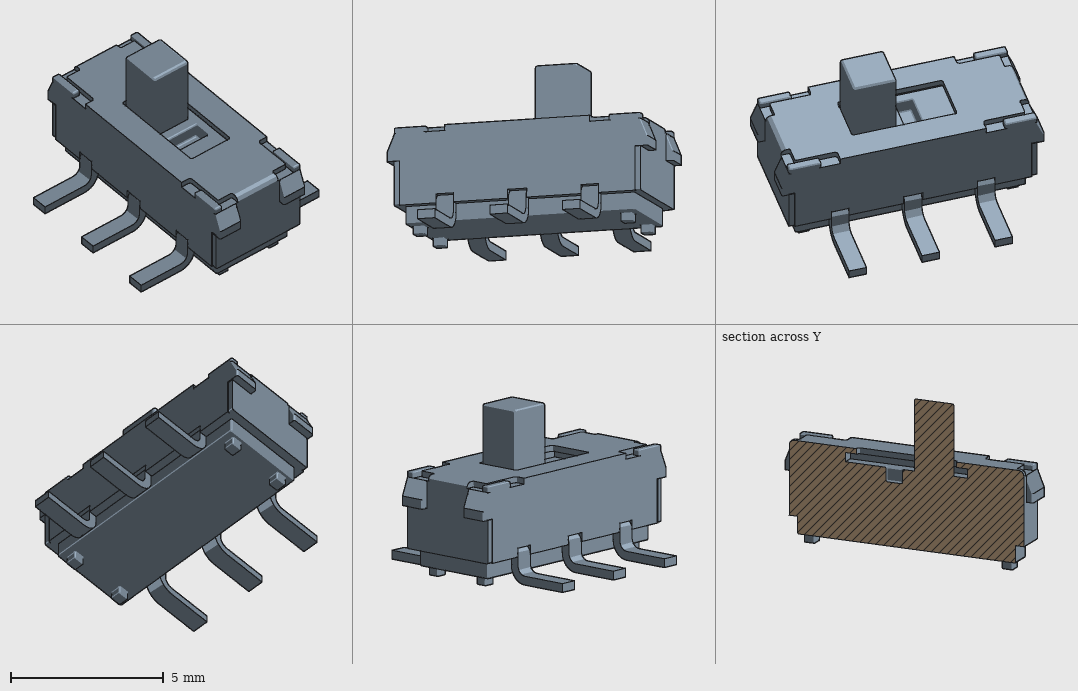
import cadquery as cq

base_bottom_z = 0.3
body_bottom_z = 0.9
body_top_z = 3.3
cover_top_z = 3.5
knob_top_z = 5.5

body_width = 3.6
body_length = 8.5
side_wall_length = 8.12
end_wall_inset = 0.03
base_length = 7.9
base_width = 3.0
small_round = 0.06

overall_length = 9.0
wing_inner_y = 0.9
wing_knee_z = 2.7
wing_bottom_z = 2.38

notch_end_x = 2.5
notch_side_y = 1.43
notch_inner_x = 3.94
notch_inner_y = 0.85
notch_corner_radius = 0.1
notch_fine_radius = 0.05
cover_end_radius = 0.19
nub_length = 1.1
nub_width = 0.3

window_length = 3.6
window_width = 1.65
window_corner_radius = 0.08
slider_top_z = 3.0
cavity_clearance_x = 0.4
cavity_clearance_y = 0.25
slot_center_x = 0.44
slot_length = 0.6
slot_width = 1.5
slot_depth = 0.5
knob_size = 1.5
knob_center_x = -1.0
knob_round = 0.1

terminal_pitch = 2.5
terminal_width = 0.6
terminal_thickness = 0.3
terminal_tip_y = 3.75
bend_inner_radius = 0.3
pocket_widths = (0.6, 0.66, 0.6)

post_size = 0.4
post_center_x = 3.58
post_center_y = 1.05
post_round = 0.05

half_length = body_length / 2
half_width = body_width / 2
bend_outer_radius = bend_inner_radius + terminal_thickness
cover_thickness = cover_top_z - body_top_z


def block(x_range, y_range, z_range):
    """Axis-aligned box between the given limits."""
    x0, x1 = x_range
    y0, y1 = y_range
    z0, z1 = z_range
    return cq.Workplane("XY").box(x1 - x0, y1 - y0, z1 - z0, centered=False).translate((x0, y0, z0))


def centered_block(length, width, z0, z1):
    """Box centred on the Z axis."""
    return block((-length / 2, length / 2), (-width / 2, width / 2), (z0, z1))


def at_four_corners(shape):
    """The (-X, -Y) corner shape together with its three mirror images."""
    pair = shape.union(shape.mirror("YZ"))
    return pair.union(pair.mirror("XZ"))


def make_housing():
    sides = centered_block(side_wall_length, body_width, body_bottom_z, body_top_z)
    ends = centered_block(body_length, body_width - 2 * end_wall_inset, body_bottom_z, body_top_z)
    ends = ends.edges("|X and <Z").fillet(small_round)
    base = centered_block(base_length, base_width, base_bottom_z, body_bottom_z)
    base = base.edges("|Z").fillet(small_round).faces("<Z").edges().fillet(small_round)
    return sides.union(ends).union(base)


def make_wing():
    """Snap wing that slopes outward and down from the top of one corner."""
    wing = (
        cq.Workplane("XZ", origin=(0, -wing_inner_y, 0))
        .moveTo(-half_length, body_top_z)
        .lineTo(-overall_length / 2, wing_knee_z)
        .lineTo(-overall_length / 2, wing_bottom_z)
        .lineTo(-side_wall_length / 2, wing_bottom_z)
        .lineTo(-side_wall_length / 2, body_top_z)
        .close()
        .extrude(half_width - wing_inner_y)
    )
    sloped_edges = wing.edges("#Y").edges("not(|X or |Z)")
    return sloped_edges.add(wing.faces("<X").edges("|Z")).fillet(small_round)


def make_nub():
    """Raised bar at the outer edge of one corner of the cover."""
    nub = block(
        (-half_length, -half_length + nub_length),
        (-half_width, -half_width + nub_width),
        (body_top_z, cover_top_z),
    )
    return nub.edges("|Z or >Z").fillet(small_round)


def make_notch():
    """L-shaped cutter that clears one corner of the cover."""
    side_leg = block(
        (-half_length, -notch_end_x), (-half_width, -notch_side_y), (body_top_z, cover_top_z)
    )
    side_leg = side_leg.edges("|Z and >X and >Y").fillet(notch_corner_radius)
    end_leg = block(
        (-half_length, -notch_inner_x), (-half_width, -notch_inner_y), (body_top_z, cover_top_z)
    )
    end_leg = end_leg.edges("|Z and >X and >Y").fillet(notch_fine_radius)
    inside_corner = cq.selectors.NearestToPointSelector(
        (-notch_inner_x, -notch_side_y, body_top_z + cover_thickness / 2)
    )
    return side_leg.union(end_leg).edges(inside_corner).fillet(notch_fine_radius)


def make_cover():
    cover = centered_block(body_length, body_width, body_top_z, cover_top_z)
    cover = cover.faces(">Z").edges("|Y").fillet(cover_end_radius)
    window = centered_block(window_length, window_width, body_top_z, cover_top_z)
    window = window.edges("|Z").fillet(window_corner_radius)
    return cover.cut(at_four_corners(make_notch())).cut(window)


def make_knob():
    knob = centered_block(knob_size, knob_size, slider_top_z, knob_top_z)
    knob = knob.edges("|Z or >Z").fillet(knob_round)
    return knob.translate((knob_center_x, 0, 0))


def make_slider_cavity():
    """Space above the slider, reaching a little under the cover all round the window."""
    return centered_block(
        window_length + 2 * cavity_clearance_x,
        window_width + 2 * cavity_clearance_y,
        slider_top_z,
        body_top_z,
    )


def cut_slider_slot(part):
    """Slot in the slider beside the knob, with rounded floor and rim edges."""
    slot = centered_block(slot_length, slot_width, slider_top_z - slot_depth, slider_top_z)
    slot = slot.edges("|Z or <Z").fillet(small_round)
    slotted = part.cut(slot.translate((slot_center_x, 0, 0)))
    margin = 2 * small_round
    rim = cq.selectors.BoxSelector(
        (slot_center_x - slot_length / 2 - margin, -slot_width / 2 - margin, slider_top_z - small_round / 2),
        (slot_center_x + slot_length / 2 + margin, slot_width / 2 + margin, slider_top_z + small_round / 2),
    )
    return slotted.edges(rim).fillet(small_round)


def make_terminal_pocket(width):
    """Opening in the foot of the -Y side wall where a terminal enters."""
    return block(
        (-width / 2, width / 2),
        (-half_width, -half_width + terminal_thickness),
        (body_bottom_z, body_bottom_z + terminal_thickness),
    )


def make_terminal():
    """Gull-wing terminal on the -Y side: rounded shoulder, leg, bend and foot."""
    inner_y = -half_width + terminal_thickness
    bend_y = -half_width - bend_inner_radius
    bend_z = bend_outer_radius
    shoulder_z = body_bottom_z + terminal_thickness
    diagonal = 0.5 ** 0.5
    shoulder_mid = terminal_thickness * diagonal
    inner_mid = bend_inner_radius * diagonal
    outer_mid = bend_outer_radius * diagonal
    return (
        cq.Workplane("YZ", origin=(-terminal_width / 2, 0, 0))
        .moveTo(inner_y, shoulder_z)
        .threePointArc((inner_y - shoulder_mid, body_bottom_z + shoulder_mid), (-half_width, body_bottom_z))
        .lineTo(-half_width, bend_z)
        .threePointArc((bend_y + inner_mid, bend_z - inner_mid), (bend_y, terminal_thickness))
        .lineTo(-terminal_tip_y, terminal_thickness)
        .lineTo(-terminal_tip_y, 0)
        .lineTo(bend_y, 0)
        .threePointArc((bend_y + outer_mid, bend_z - outer_mid), (inner_y, bend_z))
        .close()
        .extrude(terminal_width)
    )


def add_terminals(part):
    for index, pocket_width in enumerate(pocket_widths):
        x = (index - 1) * terminal_pitch
        pocket = make_terminal_pocket(pocket_width).translate((x, 0, 0))
        terminal = make_terminal().translate((x, 0, 0))
        part = part.cut(pocket).cut(pocket.mirror("XZ"))
        part = part.union(terminal).union(terminal.mirror("XZ"))
    return part


def make_post():
    post = centered_block(post_size, post_size, 0, base_bottom_z)
    post = post.edges("|Z or <Z").fillet(post_round)
    return post.translate((-post_center_x, -post_center_y, 0))


def add_posts(part):
    """Four posts under the base, each blended into it by a small fillet."""
    part = part.union(at_four_corners(make_post()))
    reach = post_size / 2 + post_round / 2
    for side_x in (-1, 1):
        for side_y in (-1, 1):
            x = side_x * post_center_x
            y = side_y * post_center_y
            root = cq.selectors.BoxSelector(
                (x - reach, y - reach, base_bottom_z - post_round / 2),
                (x + reach, y + reach, base_bottom_z + post_round / 2),
            )
            part = part.edges(root).fillet(post_round)
    return part


result = make_housing()
result = result.union(at_four_corners(make_wing()))
result = result.cut(make_slider_cavity())
result = cut_slider_slot(result)
result = result.union(make_cover())
result = result.union(at_four_corners(make_nub()))
result = result.union(make_knob())
result = add_terminals(result)
result = add_posts(result)